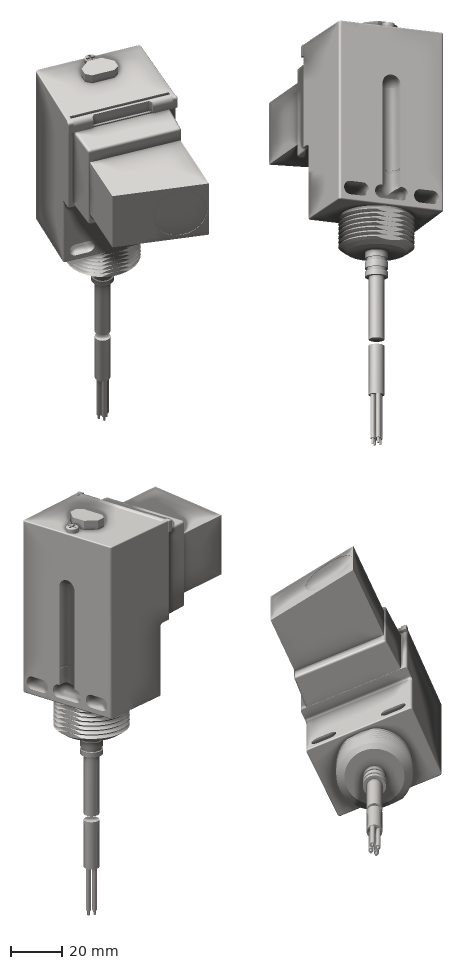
import cadquery as cq
import math


rear_x = -15.5
lower_front_x = 15.5
upper_front_x = 20.5
ledge_z = 30.7
housing_top = 67.9
rear_half_width = 22.0
front_half_width = 22.7
corner_radius = 1.0
base_edge_radius = 0.5
inner_corner_radius = 1.0

head_z = 49.0
collar_height = 36.3
collar_root_width = 40.4
collar_tip_width = 39.0
collar_tip_x = 34.1
collar_edge_radius = 1.0
block_height = 25.1
block_half_width = 19.0
block_short_x = 57.5
block_long_x = 64.0
lens_radius = 10.9
lens_offset = 7.8
lens_depth = 0.2

thread_length = 15.1
thread_crest_radius = 15.0
thread_root_radius = 13.7
thread_pitch = 1.9
thread_turns = 7
thread_end_radius = 11.7
thread_end_chamfer = 1.4
thread_flat_half_width = 13.7

recess_wall_depth = 2.0
groove_width = 7.6
groove_radius = groove_width / 2
groove_top_z = 53.1
ring_z = 15.1
ring_height = 1.0
ring_depth = 0.2
slot_z = 5.1
slot_height = 5.5
mount_slot_length = 10.5
mount_slot_y = 14.8
centre_slot_length = 14.0
centre_slot_wall_depth = recess_wall_depth + groove_radius - slot_height / 2

lid_height = 5.0
lid_top = housing_top + lid_height
lid_front_x = 21.7
lid_edge_radius = 0.5
lid_nose_radius = 1.0
ear_rear_x = 19.7
overall_width = 46.0
ear_half_width = overall_width / 2
barrel_half_length = 20.9
barrel_radius = 2.2
barrel_gap_half_length = 12.5
barrel_gap_chamfer = 1.0
barrel_x = lid_front_x - barrel_radius
barrel_z = lid_top - barrel_radius
barrel_rear_x = barrel_x - barrel_radius

knob_height = 3.9
knob_rear_x = -8.3
knob_front_x = 0.8
knob_flat_rear_x = -4.5
knob_flat_front_x = -1.0
knob_half_width = 7.0
knob_rear_half_width = 2.9
knob_front_half_width = 4.8
screw_x = -12.0
screw_radius = 2.5
screw_height = 2.0
screw_edge_radius = 0.5
cross_length = 3.9
cross_width = 0.8
cross_depth = 0.8

relief_diameter = 9.0
relief_radius = relief_diameter / 2
relief_end_z = -25.1
relief_groove_radius = 3.9
relief_groove_height = 1.4
relief_groove_tops = (-17.6, -21.7)
cable_radius = 3.0
upper_cable_end_z = -50.5
end_sheath_top_z = -53.1
end_sheath_bottom_z = -73.1
wire_count = 4
wire_spread_x = 1.9
wire_spread_y = 1.5
wire_radius = 1.0
wire_end_z = -91.0
conductor_radius = 0.5
assembly_height = 169.7
conductor_end_z = lid_top + knob_height - assembly_height

flare = (front_half_width - rear_half_width) / (lid_front_x - rear_x)


def box(x0, x1, y0, y1, z0, z1):
    """Axis-aligned box between two opposite corners."""
    return cq.Workplane("XY").box(x1 - x0, y1 - y0, z1 - z0, centered=False).translate((x0, y0, z0))


def cylinder(radius, z0, z1, x=0.0, y=0.0):
    """Vertical cylinder from z0 up to z1."""
    return cq.Workplane("XY").workplane(offset=z0).center(x, y).circle(radius).extrude(z1 - z0)


def flared_block(front_x, z0, z1):
    """Block from the mounting face to front_x whose sides follow the housing flare."""
    half_width = rear_half_width + flare * (front_x - rear_x)
    corners = [
        (rear_x, -rear_half_width),
        (front_x, -half_width),
        (front_x, half_width),
        (rear_x, rear_half_width),
    ]
    return cq.Workplane("XY").workplane(offset=z0).polyline(corners).close().extrude(z1 - z0)


def round_bottomed_slot(length, width, wall_depth, y, z, vertical=False):
    """Recess in the mounting face: straight walls, then a full-round bottom."""
    radius = width / 2
    reach = length / 2 - radius
    axis_x = rear_x + wall_depth
    angle = 90 if vertical else 0
    walls = cq.Workplane("YZ", origin=(rear_x, y, z)).slot2D(length, width, angle).extrude(wall_depth)
    direction = cq.Vector(0, 0, 1) if vertical else cq.Vector(0, 1, 0)
    centre = cq.Vector(axis_x, y, z)
    start = centre - direction * reach
    bottom = cq.Workplane(cq.Solid.makeCylinder(radius, 2 * reach, start, direction))
    for end in (start, centre + direction * reach):
        bottom = bottom.union(cq.Workplane("XY").sphere(radius).translate(end.toTuple()))
    return walls.union(bottom)


def make_shell():
    """L-shaped housing block with rounded corners."""
    lower = flared_block(lower_front_x, 0, housing_top).edges("|Z").fillet(corner_radius)
    upper = flared_block(upper_front_x, ledge_z, housing_top).edges("|Z").fillet(corner_radius)
    shell = lower.faces("<Z").edges().fillet(base_edge_radius).union(upper)
    inner_corner = cq.selectors.NearestToPointSelector((lower_front_x, 0, ledge_z))
    return shell.edges("|Y").edges(inner_corner).fillet(inner_corner_radius)


def make_collar():
    """Tapered collar on the front of the housing."""
    taper_length = collar_tip_x - upper_front_x
    collar = (
        cq.Workplane("YZ", origin=(upper_front_x, 0, head_z))
        .rect(collar_root_width, collar_height)
        .workplane(offset=taper_length)
        .rect(collar_tip_width, collar_height)
        .loft(combine=True)
    )
    return collar.edges("not <X").fillet(collar_edge_radius)


def make_lens_block():
    """Rectangular block with a slanted front face and a shallow round lens recess."""
    corners = [
        (upper_front_x, -block_half_width),
        (block_short_x, -block_half_width),
        (block_long_x, block_half_width),
        (upper_front_x, block_half_width),
    ]
    block = (
        cq.Workplane("XY")
        .workplane(offset=head_z - block_height / 2)
        .polyline(corners)
        .close()
        .extrude(block_height)
    )
    run = block_long_x - block_short_x
    slant = math.hypot(run, 2 * block_half_width)
    normal = cq.Vector(2 * block_half_width / slant, -run / slant, 0)
    along = cq.Vector(run / slant, 2 * block_half_width / slant, 0)
    face_middle = cq.Vector((block_short_x + block_long_x) / 2, 0, head_z)
    lens_centre = face_middle + along * lens_offset
    recess = cq.Solid.makeCylinder(lens_radius, lens_depth, lens_centre - normal * lens_depth, normal)
    return block.cut(cq.Workplane(recess))


def make_threaded_base():
    """Threaded stub modelled as rings, with a flat on the front and on the rear."""
    first_turn_z = thread_turns * thread_pitch + thread_end_chamfer - thread_length
    profile = [(0, 0), (thread_root_radius, 0), (thread_root_radius, first_turn_z)]
    for turn in range(thread_turns):
        top = first_turn_z - turn * thread_pitch
        profile.append((thread_crest_radius, top - thread_pitch / 2))
        profile.append((thread_root_radius, top - thread_pitch))
    profile += [(thread_end_radius, -thread_length), (0, -thread_length)]
    thread = cq.Workplane("XZ").polyline(profile).close().revolve(360, (0, 0, 0), (0, 1, 0))
    flats = box(
        -thread_flat_half_width,
        thread_flat_half_width,
        -thread_crest_radius,
        thread_crest_radius,
        -thread_length,
        0,
    )
    return thread.intersect(flats)


def cut_mounting_face(body):
    """Central groove with its ring, the cross slot and two through mounting slots."""
    groove_length = groove_top_z - slot_z + groove_radius
    groove_z = groove_top_z - groove_length / 2
    groove = round_bottomed_slot(groove_length, groove_width, recess_wall_depth, 0, groove_z, True)
    lower_end = box(rear_x, lower_front_x, -groove_radius, groove_radius, 0, slot_z)
    body = body.cut(groove.cut(lower_end))
    ring = cylinder(
        groove_radius + ring_depth,
        ring_z - ring_height / 2,
        ring_z + ring_height / 2,
        rear_x + recess_wall_depth,
    )
    body = body.cut(ring)
    body = body.cut(round_bottomed_slot(centre_slot_length, slot_height, centre_slot_wall_depth, 0, slot_z))
    mount_slots = (
        cq.Workplane("YZ", origin=(rear_x, 0, slot_z))
        .pushPoints([(-mount_slot_y, 0), (mount_slot_y, 0)])
        .slot2D(mount_slot_length, slot_height)
        .extrude(lower_front_x - rear_x)
    )
    return body.cut(mount_slots)


def make_housing():
    """Housing with the optical head and the threaded base in one piece."""
    body = make_shell().union(make_collar()).union(make_lens_block()).union(make_threaded_base())
    return cut_mounting_face(body)


def make_hinge_barrel():
    """Round bar along the front edge of the lid."""
    start = cq.Vector(barrel_x, -barrel_half_length, barrel_z)
    bar = cq.Solid.makeCylinder(barrel_radius, 2 * barrel_half_length, start, cq.Vector(0, 1, 0))
    return cq.Workplane(bar)


def make_barrel_gap():
    """Clearance with bevelled rear corners through the middle of the barrel."""
    gap = box(
        ear_rear_x,
        lid_front_x,
        -barrel_gap_half_length,
        barrel_gap_half_length,
        housing_top,
        lid_top,
    )
    return gap.edges("|Z and <X").chamfer(barrel_gap_chamfer)


def make_knob():
    """Eight-sided setting knob."""
    side = [
        (knob_rear_x, knob_rear_half_width),
        (knob_flat_rear_x, knob_half_width),
        (knob_flat_front_x, knob_half_width),
        (knob_front_x, knob_front_half_width),
    ]
    mirrored = [(x, -y) for x, y in reversed(side)]
    return cq.Workplane("XY").workplane(offset=lid_top).polyline(side + mirrored).close().extrude(knob_height)


def make_screw_head():
    """Round screw head with a cross recess."""
    top = lid_top + screw_height
    head = cylinder(screw_radius, lid_top, top, screw_x).faces(">Z").edges().fillet(screw_edge_radius)
    for length, width in ((cross_length, cross_width), (cross_width, cross_length)):
        arm = box(
            screw_x - length / 2,
            screw_x + length / 2,
            -width / 2,
            width / 2,
            top - cross_depth,
            top,
        )
        head = head.cut(arm)
    return head


def make_lid():
    """Lid plate with end ears, hinge barrel, knob and screw head."""
    plate = flared_block(lid_front_x, housing_top, lid_top).edges("|Z and <X").fillet(corner_radius)
    ears = box(ear_rear_x, lid_front_x, -ear_half_width, ear_half_width, housing_top, lid_top)
    plate = plate.union(ears)
    plate = plate.faces(">X").edges(">Z").fillet(lid_nose_radius)
    plate = plate.faces(">Z").edges("not >X").fillet(lid_edge_radius)
    barrel_space = box(
        barrel_rear_x,
        lid_front_x,
        -barrel_half_length,
        barrel_half_length,
        barrel_z,
        lid_top,
    )
    lid = plate.cut(barrel_space).union(make_hinge_barrel()).cut(make_barrel_gap())
    return lid.union(make_knob()).union(make_screw_head())


def make_upper_cable():
    """Grooved strain relief with the first length of cable."""
    relief = cylinder(relief_radius, relief_end_z, -thread_length)
    for top in relief_groove_tops:
        band = cylinder(relief_radius, top - relief_groove_height, top)
        relief = relief.cut(band.cut(cylinder(relief_groove_radius, top - relief_groove_height, top)))
    return relief.union(cylinder(cable_radius, upper_cable_end_z, relief_end_z))


def make_cable_end():
    """Last length of cable with its stripped wires."""
    cable = cylinder(cable_radius, end_sheath_bottom_z, end_sheath_top_z)
    for i in range(wire_count):
        angle = 2 * math.pi * i / wire_count
        x = wire_spread_x * math.cos(angle)
        y = wire_spread_y * math.sin(angle)
        cable = cable.union(cylinder(wire_radius, wire_end_z, end_sheath_bottom_z, x, y))
        cable = cable.union(cylinder(conductor_radius, conductor_end_z, wire_end_z, x, y))
    return cable


housing = make_housing()
lid = make_lid()
upper_cable = make_upper_cable()
cable_end = make_cable_end()

result = cq.Compound.makeCompound([housing.val(), lid.val(), upper_cable.val(), cable_end.val()])